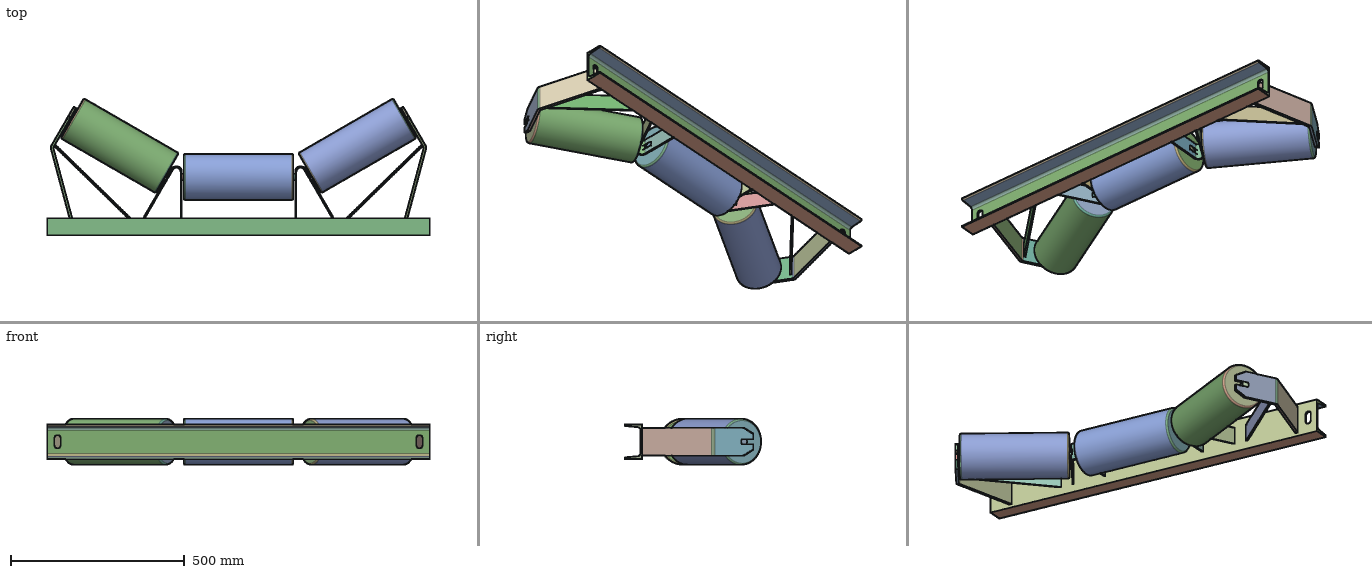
import cadquery as cq
import math


channel_length = 1100.0
channel_height = 100.0
flange_width = 50.0
web_thickness = 5.0
flange_thickness = 7.5
flange_slope = math.radians(5.0)
root_radius = 8.0
toe_radius = 4.0
mount_slot_width = 18.0
mount_slot_height = 38.0
mount_slot_inset = 30.0

roller_diameter = 133.0
roller_length = 315.0
roller_edge_radius = 5.0
shaft_diameter = 20.0
shaft_flats = 14.0
shaft_gap = 5.0
center_roller_y = 118.0
trough_angle = 30.0
side_roller_x = -341.3
side_roller_y = 207.8

outer_width = 80.0
outer_thickness = 8.0
outer_foot_x = -486.0
outer_lean = math.radians(15.0)
outer_bend_radius = 6.0
outer_tip_rise = 31.0
outer_tip_width = 46.0
outer_tip_taper = 31.0
inner_width = 50.0
inner_thickness = 4.0
inner_bend_radius = 12.0

brace_width = inner_width
brace_thickness = 5.0
brace_foot_x = -314.0
brace_angle = math.radians(44.3)

bracket_face = roller_length / 2 + shaft_gap
outer_back = bracket_face + outer_thickness
inner_back = bracket_face + inner_thickness

tilt = math.radians(trough_angle)


def side_point(along, up):
    """XY point given along the left roller axis (inward) and square to it (upward)."""
    x = side_roller_x + along * math.cos(tilt) + up * math.sin(tilt)
    y = side_roller_y - along * math.sin(tilt) + up * math.cos(tilt)
    return (x, y)


def side_point_at_x(along, x):
    """Point at the given x on the line square to the left roller axis at 'along'."""
    up = (x - side_point(along, 0)[0]) / math.sin(tilt)
    return side_point(along, up)


def side_point_at_y(along, y):
    """Point at the given y on the line square to the left roller axis at 'along'."""
    up = (y - side_point(along, 0)[1]) / math.cos(tilt)
    return side_point(along, up)


def place_on_side(body):
    """Move a body built around the X axis onto the left roller axis."""
    turned = body.rotate((0, 0, 0), (0, 0, 1), -trough_angle)
    return turned.translate((side_roller_x, side_roller_y, 0))


def place_on_center(body):
    """Move a body built around the X axis onto the center roller axis."""
    return body.translate((0, center_roller_y, 0))


def plate(points, width):
    """Flat-sided plate with an XY outline, centred on z = 0."""
    return cq.Workplane("XY").polyline(points).close().extrude(width / 2, both=True)


def round_bend(body, point, radius):
    """Round the edge along Z that passes through an XY point."""
    corner = cq.selectors.NearestToPointSelector((point[0], point[1], 0))
    return body.edges(corner).fillet(radius)


def mirrored(body):
    """Right-hand copy of a left-hand body."""
    return body.mirror("YZ")


def bar_along_x(diameter, length):
    """Round bar centred on the origin."""
    return cq.Workplane("YZ", origin=(-length / 2, 0, 0)).circle(diameter / 2).extrude(length)


def shaft_end(start, length):
    """Flattened shaft end along X, with its flats facing +Z and -Z."""
    round_end = cq.Workplane("YZ", origin=(start, 0, 0)).circle(shaft_diameter / 2).extrude(length)
    flats = cq.Workplane("XY").box(length, shaft_diameter, shaft_flats)
    return round_end.intersect(flats.translate((start + length / 2, 0, 0)))


def shaft_slot(start, length, rise):
    """Cutter for a bracket slot: the shaft end, opened upward by 'rise'."""
    opening = cq.Workplane("XY").box(length, rise, shaft_flats)
    return shaft_end(start, length).union(opening.translate((start + length / 2, rise / 2, 0)))


def make_channel():
    half_height = channel_height / 2
    half_taper = flange_width / 2 * math.tan(flange_slope)
    toe_z = half_height - flange_thickness + half_taper
    root_drop = (flange_width - web_thickness) * math.tan(flange_slope)
    root_z = toe_z - root_drop
    profile = [
        (0, half_height), (-flange_width, half_height),
        (-flange_width, toe_z), (-web_thickness, root_z),
        (-web_thickness, -root_z), (-flange_width, -toe_z),
        (-flange_width, -half_height), (0, -half_height),
    ]
    body = cq.Workplane("YZ").polyline(profile).close().extrude(channel_length / 2, both=True)
    for side in (1, -1):
        for y, z, radius in ((-web_thickness, root_z, root_radius), (-flange_width, toe_z, toe_radius)):
            corner = cq.selectors.NearestToPointSelector((0, y, side * z))
            body = body.edges(corner).fillet(radius)
    slot_x = channel_length / 2 - mount_slot_inset
    slots = (
        cq.Workplane("XZ").pushPoints([(-slot_x, 0), (slot_x, 0)])
        .slot2D(mount_slot_height, mount_slot_width, 90).extrude(web_thickness)
    )
    return body.cut(slots)


def make_roller(left_seat, right_seat):
    """Roller on its shaft along X; each seat is the bracket thickness at that end."""
    drum = bar_along_x(roller_diameter, roller_length)
    drum = drum.faces("<X or >X").edges().fillet(roller_edge_radius)
    shaft = bar_along_x(shaft_diameter, 2 * bracket_face)
    left_end = shaft_end(-bracket_face - left_seat, left_seat)
    right_end = shaft_end(bracket_face, right_seat)
    return drum.union(shaft).union(left_end).union(right_end)


def outer_knee(depth):
    """Corner of the left outer bracket, 'depth' below its outer faces."""
    foot_x = outer_foot_x + depth / math.cos(outer_lean)
    along = -outer_back + depth
    base_x, base_y = side_point(along, 0)
    y = (foot_x - base_x + base_y * math.tan(tilt)) / (math.tan(tilt) + math.tan(outer_lean))
    return (foot_x - y * math.tan(outer_lean), y)


def make_outer_bracket():
    """Left outer bracket: leaning leg, bend, and a slotted plate with tapered corners."""
    outside = outer_knee(0)
    inside = outer_knee(outer_thickness)
    foot_span = outer_thickness / math.cos(outer_lean)
    profile = [
        (outer_foot_x, 0), outside,
        side_point(-outer_back, outer_tip_rise), side_point(-bracket_face, outer_tip_rise),
        inside, (outer_foot_x + foot_span, 0),
    ]
    body = plate(profile, outer_width)
    body = round_bend(body, outside, outer_bend_radius + outer_thickness)
    body = round_bend(body, inside, outer_bend_radius)
    for side in (1, -1):
        corner = [
            (outer_tip_rise, side * outer_tip_width / 2),
            (outer_tip_rise, side * outer_width / 2),
            (outer_tip_rise - outer_tip_taper, side * outer_width / 2),
        ]
        cutter = cq.Workplane("YZ", origin=(-outer_back, 0, 0)).polyline(corner).close()
        body = body.cut(place_on_side(cutter.extrude(outer_thickness)))
    return body.cut(place_on_side(shaft_slot(-outer_back, outer_thickness, outer_tip_rise)))


def make_inner_bracket():
    """Left inner bracket: an upside-down V whose slot runs over the bend into both legs."""
    upright_face = -bracket_face
    upright_back = -inner_back
    outside = side_point_at_x(bracket_face, upright_face)
    inside = side_point_at_x(inner_back, upright_back)
    profile = [
        side_point_at_y(bracket_face, 0), outside, (upright_face, 0),
        (upright_back, 0), inside, side_point_at_y(inner_back, 0),
    ]
    body = plate(profile, inner_width)
    body = round_bend(body, outside, inner_bend_radius + inner_thickness)
    body = round_bend(body, inside, inner_bend_radius)
    bend_reach = inner_thickness + inner_bend_radius
    slot_rise = outside[1] - center_roller_y
    center_slot = shaft_slot(-inner_back, inner_thickness, slot_rise)
    side_slot = shaft_slot(bracket_face, inner_thickness, slot_rise)
    bend_slot = cq.Workplane("XY").box(2 * bend_reach, slot_rise, shaft_flats)
    bend_slot = bend_slot.translate((-bracket_face - bend_reach, slot_rise, 0))
    for cutter in (place_on_center(center_slot), place_on_side(side_slot), place_on_center(bend_slot)):
        body = body.cut(cutter)
    return body


def brace_end(foot_x):
    """Point where a line rising from the channel at the brace angle meets the outer plate."""
    drop_x = foot_x - side_roller_x
    foot_along = drop_x * math.cos(tilt) + side_roller_y * math.sin(tilt)
    reach = (foot_along + bracket_face) / math.cos(brace_angle - tilt)
    return (foot_x - reach * math.cos(brace_angle), reach * math.sin(brace_angle))


def make_brace():
    """Left brace: flat bar from the channel to the inner face of the outer bracket's plate."""
    half_span = brace_thickness / 2 / math.sin(brace_angle)
    left_x = brace_foot_x - half_span
    right_x = brace_foot_x + half_span
    return plate([(left_x, 0), brace_end(left_x), brace_end(right_x), (right_x, 0)], brace_width)


channel = make_channel()
center_roller = place_on_center(make_roller(inner_thickness, inner_thickness))
side_roller = place_on_side(make_roller(outer_thickness, inner_thickness))
outer_bracket = make_outer_bracket()
inner_bracket = make_inner_bracket()
brace = make_brace()

bodies = [channel.solids().val(), center_roller.solids().val()]
for left_body in (side_roller, outer_bracket, inner_bracket, brace):
    bodies += [left_body.solids().val(), mirrored(left_body).solids().val()]

result = cq.Compound.makeCompound(bodies)